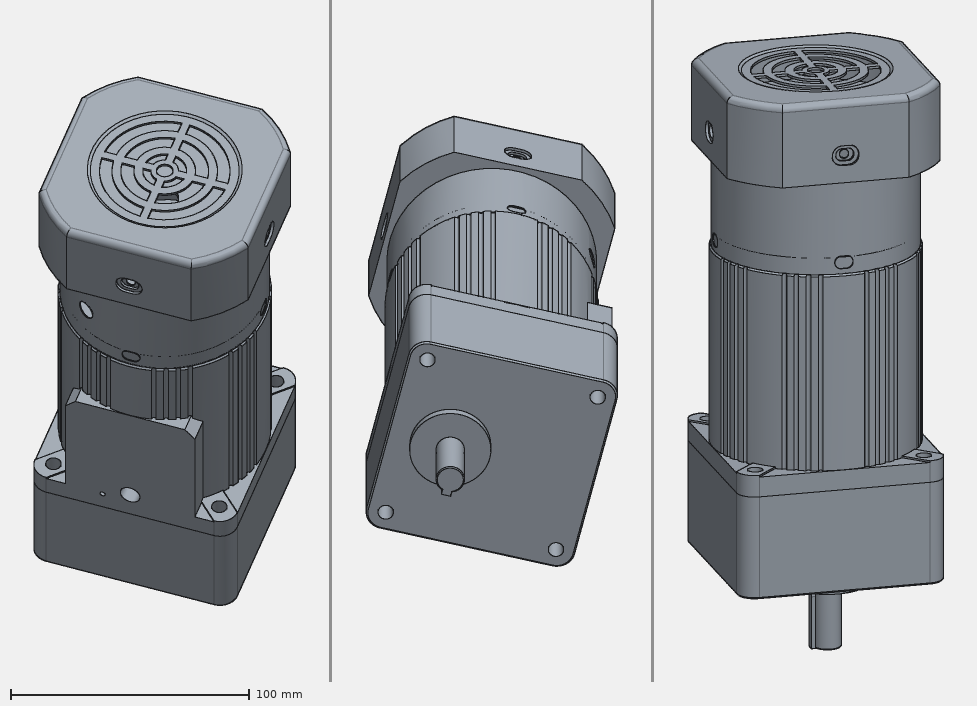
import cadquery as cq
import math


total_height = 249.0
shaft_reach = 32.0
gearhead_height = 45.0
flange_height = 8.7
ribbed_height = 86.2
cover_height = 36.0
flange_z = gearhead_height
ribbed_z = flange_z + flange_height
shoulder_z = ribbed_z + ribbed_height
top_z = total_height - shaft_reach
cover_z = top_z - cover_height

base_width = 90.0
base_corner_radius = 7.7
bolt_circle_diameter = 104.0
bolt_hole_diameter = 6.5
bolt_spacing = bolt_circle_diameter / math.sqrt(2)

gearhead_chamfer = 0.7
shaft_offset = 18.0
boss_diameter = 34.0
boss_height = 4.0
shaft_diameter = 12.0
shaft_chamfer = 0.5
key_width = 4.0
key_length = 25.0
key_reach = 7.5

pad_height = 0.7
pad_width = base_corner_radius * math.sqrt(2)
ribbed_diameter = 89.6
ribbed_chamfer = 0.7
spigot_height = 7.2
end_boss_diameter = 53.8
end_boss_height = 0.5
groove_width = 2.0
groove_pitch = 6.6
first_groove_angle = 13.0
grooves_per_group = 4
groove_angles = [first_groove_angle + groove_pitch * i for i in range(grooves_per_group)]
plate_width = 57.5
plate_top_z = ribbed_z + 54.3
plate_depth = 15.0
plate_chamfer = 4.5
cable_hole_diameter = 8.7
cable_hole_z = ribbed_z + 3.5
ground_hole_diameter = 2.2
ground_hole_x = -12.2
ground_hole_z = ribbed_z - 0.5
plate_hole_depth = 7.5

sleeve_diameter = 88.1
sleeve_wall = 0.5
sleeve_top_z = top_z - 18.5
sleeve_bore = sleeve_diameter - 2 * sleeve_wall
end_wall = 2.0
end_hole_diameter = 11.7
lead_hole_diameter = 8.2
lead_hole_z = top_z - 56.8
lead_hole_angle = -30
screw_slot_length = 8.0
screw_slot_height = 5.5
lower_slot_z = top_z - 72.0
screw_z = top_z - 24.2
screw_hole_diameter = 4.0

cover_width = 93.0
cover_corner_diameter = 108.0
cover_fillet = 3.0
recess_diameter = 65.0
recess_floor_diameter = 62.5
recess_depth = 0.7
grille_thickness = 1.0
recess_slot_length = 11.7
recess_slot_height = 8.7
screw_recess_depth = 1.2
vent_rings = [(54.8, 44.3), (36.9, 26.0), (18.5, 11.7)]
vent_centre_diameter = 7.0
spoke_width = 3.5

quarter_turns = [0, 90, 180, 270]


def cylinder(diameter, z_low, z_high):
    return cq.Workplane("XY").workplane(offset=z_low).circle(diameter / 2).extrude(z_high - z_low)


def square_section(z_low, z_high):
    """Block with the rounded square outline of the gearhead and the motor flange."""
    height = z_high - z_low
    block = cq.Workplane("XY").box(base_width, base_width, height, centered=(True, True, False))
    return block.edges("|Z").fillet(base_corner_radius).translate((0, 0, z_low))


def bolt_holes():
    """Four bolt clearance holes through the gearhead and the motor flange."""
    holes = cq.Workplane("XY").rect(bolt_spacing, bolt_spacing, forConstruction=True).vertices()
    return holes.circle(bolt_hole_diameter / 2).extrude(ribbed_z + pad_height)


def side_cut(profile, start, length, angle, z):
    """Prism of an XZ profile, running outward along -Y from `start` and then turned about Z."""
    tool = profile.extrude(length).translate((0, -start, z))
    return tool.rotate((0, 0, 0), (0, 0, 1), angle)


def four_side_slots(length, height, start, depth, z):
    """Horizontal rounded slots on the four sides."""
    slots = cq.Workplane("XY")
    for angle in quarter_turns:
        slots = slots.add(side_cut(cq.Workplane("XZ").slot2D(length, height), start, depth, angle, z))
    return slots.combine()


def make_gearhead():
    """Gearbox block with an offset boss and a keyed output shaft."""
    body = square_section(0, gearhead_height).faces("<Z").edges().chamfer(gearhead_chamfer)
    body = body.cut(bolt_holes())
    boss = cylinder(boss_diameter, -boss_height, 0)
    shaft = cylinder(shaft_diameter, -shaft_reach, 0).faces("<Z").edges().chamfer(shaft_chamfer)
    half_width = key_width / 2
    straight_length = key_length - half_width
    key = (
        cq.Workplane("YZ")
        .moveTo(-half_width, -shaft_reach)
        .lineTo(half_width, -shaft_reach)
        .lineTo(half_width, -shaft_reach + straight_length)
        .threePointArc((0, -shaft_reach + key_length), (-half_width, -shaft_reach + straight_length))
        .close()
        .extrude(key_reach)
    )
    output = boss.union(shaft).union(key).translate((0, shaft_offset, 0))
    return body.union(output)


def corner_pads():
    """Slightly raised strips along the flange diagonals, under the bolt heads."""
    diagonal = base_width * math.sqrt(2)
    strips = cq.Workplane("XY")
    for angle in (45, 135):
        strip = cq.Workplane("XY").box(diagonal, pad_width, pad_height, centered=(True, True, False))
        strips = strips.add(strip.rotate((0, 0, 0), (0, 0, 1), angle).translate((0, 0, ribbed_z)))
    return strips.combine().intersect(square_section(flange_z, ribbed_z + pad_height))


def terminal_plate():
    """Flat terminal plate rising from the front side of the flange."""
    height = plate_top_z - flange_z
    plate = cq.Workplane("XY").box(plate_width, plate_depth, height, centered=(True, False, False))
    plate = plate.faces(">Z").edges("|Y").chamfer(plate_chamfer)
    return plate.translate((0, -base_width / 2, flange_z))


def terminal_plate_holes():
    start = base_width / 2 - plate_hole_depth
    cable = cq.Workplane("XZ").circle(cable_hole_diameter / 2)
    ground = cq.Workplane("XZ").center(ground_hole_x, 0).circle(ground_hole_diameter / 2)
    cable_hole = side_cut(cable, start, plate_hole_depth, 0, cable_hole_z)
    return cable_hole.union(side_cut(ground, start, plate_hole_depth, 0, ground_hole_z))


def rib_grooves():
    """Groups of four lengthwise round-bottomed grooves, mirrored about the axes and the diagonals."""
    outer_radius = ribbed_diameter / 2
    groove = cylinder(groove_width, ribbed_z, shoulder_z).translate((outer_radius, 0, 0))
    grooves = cq.Workplane("XY")
    for side_angle in quarter_turns:
        for groove_angle in groove_angles:
            for angle in (side_angle + groove_angle, side_angle - groove_angle):
                grooves = grooves.add(groove.rotate((0, 0, 0), (0, 0, 1), angle))
    return grooves.combine()


def make_motor():
    """Ribbed stator with mounting flange, terminal plate and a spigot for the sleeve."""
    ribbed = cylinder(ribbed_diameter, flange_z, shoulder_z).faces(">Z").edges().chamfer(ribbed_chamfer)
    ribbed = ribbed.cut(rib_grooves())
    spigot_z = shoulder_z + spigot_height
    spigot = cylinder(sleeve_bore, ribbed_z, spigot_z)
    spigot = spigot.union(cylinder(end_boss_diameter, shoulder_z, spigot_z + end_boss_height))
    motor = square_section(flange_z, ribbed_z).union(corner_pads()).union(ribbed).union(spigot)
    motor = motor.union(terminal_plate()).cut(terminal_plate_holes())
    return motor.cut(bolt_holes())


def make_sleeve():
    """Thin cup, open at the bottom, with a holed end wall inside the cover."""
    sleeve = cylinder(sleeve_diameter, shoulder_z, sleeve_top_z)
    sleeve = sleeve.cut(cylinder(sleeve_bore, shoulder_z, sleeve_top_z - end_wall))
    sleeve = sleeve.cut(cylinder(end_hole_diameter, sleeve_top_z - end_wall, sleeve_top_z))
    start = sleeve_diameter / 4
    length = sleeve_diameter / 2
    sleeve = sleeve.cut(four_side_slots(screw_slot_length, screw_slot_height, start, length, lower_slot_z))
    for angle in quarter_turns:
        screw_hole = cq.Workplane("XZ").circle(screw_hole_diameter / 2)
        sleeve = sleeve.cut(side_cut(screw_hole, start, length, angle, screw_z))
    lead_hole = cq.Workplane("XZ").circle(lead_hole_diameter / 2)
    return sleeve.cut(side_cut(lead_hole, start, length, lead_hole_angle, lead_hole_z))


def grille_vents():
    """Arc vents between four spokes, around a round centre hole."""
    z_low = top_z - recess_depth - grille_thickness
    vents = cq.Workplane("XY")
    for outer, inner in vent_rings:
        vents = vents.add(cylinder(outer, z_low, top_z).cut(cylinder(inner, z_low, top_z)))
    vents = vents.combine()
    for spoke in ((recess_diameter, spoke_width), (spoke_width, recess_diameter)):
        vents = vents.cut(cq.Workplane("XY").box(*spoke, 2 * top_z))
    return vents.union(cylinder(vent_centre_diameter, z_low, top_z))


def grille_recess():
    """Shallow recess with a sloped rim in the cover top."""
    mouth = cq.Workplane("XY").workplane(offset=top_z).circle(recess_diameter / 2)
    return mouth.workplane(offset=-recess_depth).circle(recess_floor_diameter / 2).loft()


def make_cover():
    """Square cover with rounded corners, bored to fit over the sleeve."""
    cover = cq.Workplane("XY").box(cover_width, cover_width, cover_height, centered=(True, True, False))
    cover = cover.translate((0, 0, cover_z)).intersect(cylinder(cover_corner_diameter, cover_z, top_z))
    cover = cover.faces(">Z").edges().fillet(cover_fillet)
    cover = cover.cut(cylinder(sleeve_diameter, cover_z, top_z - recess_depth - grille_thickness))
    cover = cover.cut(grille_recess()).cut(grille_vents())
    start = sleeve_diameter / 4
    reach = cover_width / 2
    cover = cover.cut(four_side_slots(screw_slot_length, screw_slot_height, start, reach, screw_z))
    recess_start = cover_width / 2 - screw_recess_depth
    return cover.cut(
        four_side_slots(recess_slot_length, recess_slot_height, recess_start, screw_recess_depth, screw_z)
    )


gearhead = make_gearhead().solids()
motor = make_motor().solids()
sleeve = make_sleeve().solids()
cover = make_cover().solids()

result = cq.Compound.makeCompound([gearhead.val(), motor.val(), sleeve.val(), cover.val()])